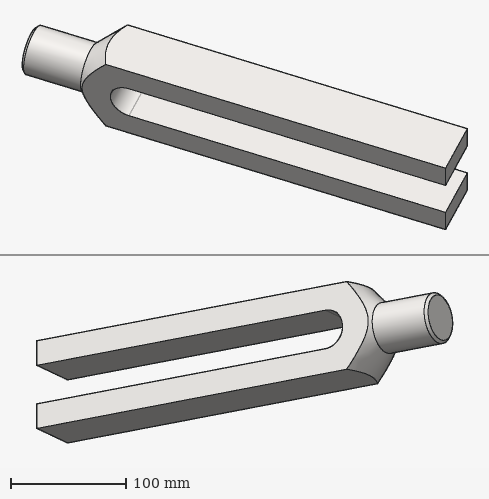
import cadquery as cq

TOTAL_LENGTH = 400.0
BODY_WIDTH = 50.0
BODY_HEIGHT = 80.0

SHANK_DIAMETER = 45.0
SHANK_LENGTH = 56.0
SHANK_CHAMFER = 2.5

SLOT_WIDTH = 35.0
SLOT_START = 85.0

shank_radius = SHANK_DIAMETER / 2
slot_radius = SLOT_WIDTH / 2


def make_turned_blank():
    """Chamfered shank, 45 degree shoulder cone and a cylinder enclosing the whole body."""
    blank_radius = (BODY_WIDTH + BODY_HEIGHT) / 2
    cone_length = blank_radius - shank_radius
    profile = (
        cq.Workplane("XY")
        .polyline([
            (0, 0),
            (0, shank_radius - SHANK_CHAMFER),
            (SHANK_CHAMFER, shank_radius),
            (SHANK_LENGTH, shank_radius),
            (SHANK_LENGTH + cone_length, blank_radius),
            (TOTAL_LENGTH, blank_radius),
            (TOTAL_LENGTH, 0),
        ])
        .close()
    )
    return profile.revolve(360, (0, 0, 0), (1, 0, 0))


def make_bar():
    """Rectangular bar that trims the blank to the flat sides of the body."""
    return cq.Workplane("XY").box(
        TOTAL_LENGTH, BODY_WIDTH, BODY_HEIGHT, centered=(False, True, True)
    )


def make_slot():
    """Round-bottomed slot through the full width, running out of the far end."""
    arc_center = SLOT_START + slot_radius
    return (
        cq.Workplane("XZ")
        .moveTo(TOTAL_LENGTH, slot_radius)
        .lineTo(arc_center, slot_radius)
        .threePointArc((SLOT_START, 0), (arc_center, -slot_radius))
        .lineTo(TOTAL_LENGTH, -slot_radius)
        .close()
        .extrude(BODY_WIDTH / 2, both=True)
    )


result = make_turned_blank().intersect(make_bar()).cut(make_slot())